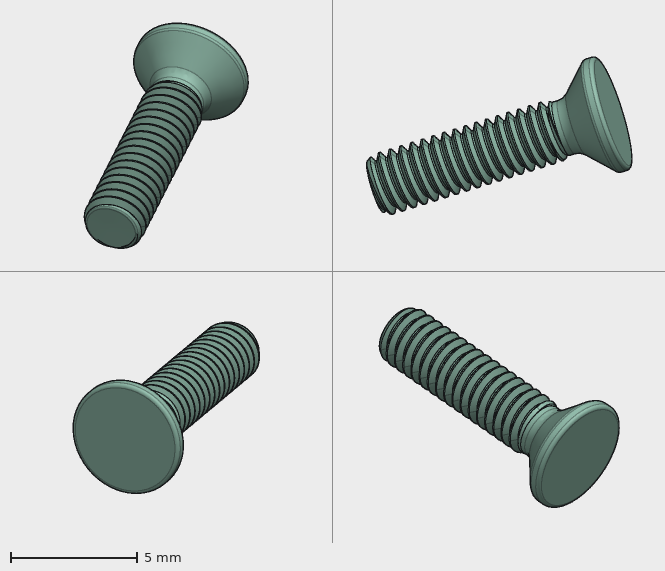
import cadquery as cq
import math

LENGTH = 10.0

HEAD_RADIUS = 2.35
HEAD_TOP_FILLET = 0.16
HEAD_RIM_END = 0.47
HEAD_RIM_FILLET = 0.15
UNDERHEAD_FILLET = 0.6

NECK_RADIUS = 1.11
NECK_END = 2.18
NECK_FLARE_LENGTH = 0.34

THREAD_RADIUS = 1.25
PITCH = 0.45
ROOT_RADIUS = 0.98
ROOT_WIDTH = PITCH / 6
CUTTER_RADIUS = THREAD_RADIUS + 0.02
FLANK_ANGLE = 30.0
THREAD_START = 2.42
RUNOUT_LENGTH = 0.21

TIP_RADIUS = 1.07
TIP_CHAMFER_ANGLE = 30.0
TIP_FILLET = 0.1
TIP_DISH_DEPTH = 0.04

CLEARANCE = 0.1
SELECTION_MARGIN = 0.01
SEAM_ANGLE = 90.0


def revolve_about_axis(outline):
    """Revolve (radius, height) points about Z."""
    return cq.Workplane("XZ").polyline(outline).close().revolve(360, (0, 0), (0, 1))


def circle_at(radius, height):
    """Select the circular edge of this radius and height."""
    reach = radius + SELECTION_MARGIN
    return cq.selectors.BoxSelector(
        (-reach, -reach, height - SELECTION_MARGIN),
        (reach, reach, height + SELECTION_MARGIN),
    )


def make_blank():
    """Unthreaded screw: head, neck, flare, shank and tip chamfer."""
    neck_start = HEAD_RIM_END + HEAD_RADIUS - NECK_RADIUS
    chamfer_length = (THREAD_RADIUS - TIP_RADIUS) / math.tan(math.radians(TIP_CHAMFER_ANGLE))
    blank = revolve_about_axis(
        [
            (0, 0),
            (HEAD_RADIUS, 0),
            (HEAD_RADIUS, HEAD_RIM_END),
            (NECK_RADIUS, neck_start),
            (NECK_RADIUS, NECK_END),
            (THREAD_RADIUS, NECK_END + NECK_FLARE_LENGTH),
            (THREAD_RADIUS, LENGTH - chamfer_length),
            (TIP_RADIUS, LENGTH),
            (0, LENGTH),
        ]
    )
    blank = blank.edges(circle_at(TIP_RADIUS, LENGTH)).fillet(TIP_FILLET)
    blank = blank.edges(circle_at(NECK_RADIUS, neck_start)).fillet(UNDERHEAD_FILLET)
    blank = blank.edges(circle_at(HEAD_RADIUS, HEAD_RIM_END)).fillet(HEAD_RIM_FILLET)
    blank = blank.edges(circle_at(HEAD_RADIUS, 0)).fillet(HEAD_TOP_FILLET)
    return blank.cut(make_tip_dish()).rotate((0, 0, 0), (0, 0, 1), SEAM_ANGLE)


def make_groove_turn():
    """One right-hand turn of the thread groove, starting on +X at Z = 0."""
    helix = cq.Wire.makeHelix(PITCH, PITCH, ROOT_RADIUS)
    half_root = ROOT_WIDTH / 2
    half_mouth = half_root + (CUTTER_RADIUS - ROOT_RADIUS) * math.tan(math.radians(FLANK_ANGLE))
    profile = [
        (ROOT_RADIUS, -half_root),
        (CUTTER_RADIUS, -half_mouth),
        (CUTTER_RADIUS, half_mouth),
        (ROOT_RADIUS, half_root),
    ]
    return cq.Workplane("XZ").polyline(profile).close().sweep(helix, isFrenet=True)


def cut_thread(blank):
    """Cut the groove turn by turn, from one turn before the thread start to past the tip."""
    groove_turn = make_groove_turn()
    last_turn = math.ceil((LENGTH - THREAD_START) / PITCH)
    threaded = blank
    for turn in range(-1, last_turn + 1):
        height = THREAD_START + turn * PITCH
        threaded = threaded.cut(groove_turn.translate((0, 0, height)), clean=False)
    return threaded


def make_runout_core():
    """Solid that fills the grooves at the neck and tapers to below the thread root."""
    outer_radius = HEAD_RADIUS + CLEARANCE
    slope = (NECK_RADIUS - ROOT_RADIUS) / RUNOUT_LENGTH
    cone_end = NECK_END + (NECK_RADIUS - ROOT_RADIUS + CLEARANCE) / slope
    cone_top = NECK_END - CLEARANCE
    return revolve_about_axis(
        [
            (0, -CLEARANCE),
            (outer_radius, -CLEARANCE),
            (outer_radius, cone_top),
            (NECK_RADIUS + CLEARANCE * slope, cone_top),
            (ROOT_RADIUS - CLEARANCE, cone_end),
            (0, cone_end),
        ]
    )


def make_tip_dish():
    """Shallow cone that hollows the flat of the tip inside its fillet."""
    half_turn = math.radians(90 - TIP_CHAMFER_ANGLE) / 2
    flat_radius = TIP_RADIUS - TIP_FILLET * math.tan(half_turn)
    return revolve_about_axis(
        [(0, LENGTH - TIP_DISH_DEPTH), (flat_radius, LENGTH), (0, LENGTH)]
    )


blank = make_blank()
runout = blank.intersect(make_runout_core())
screw = cut_thread(blank).union(runout)
result = screw.rotate((0, 0, 0), (1, 0, 0), 90)